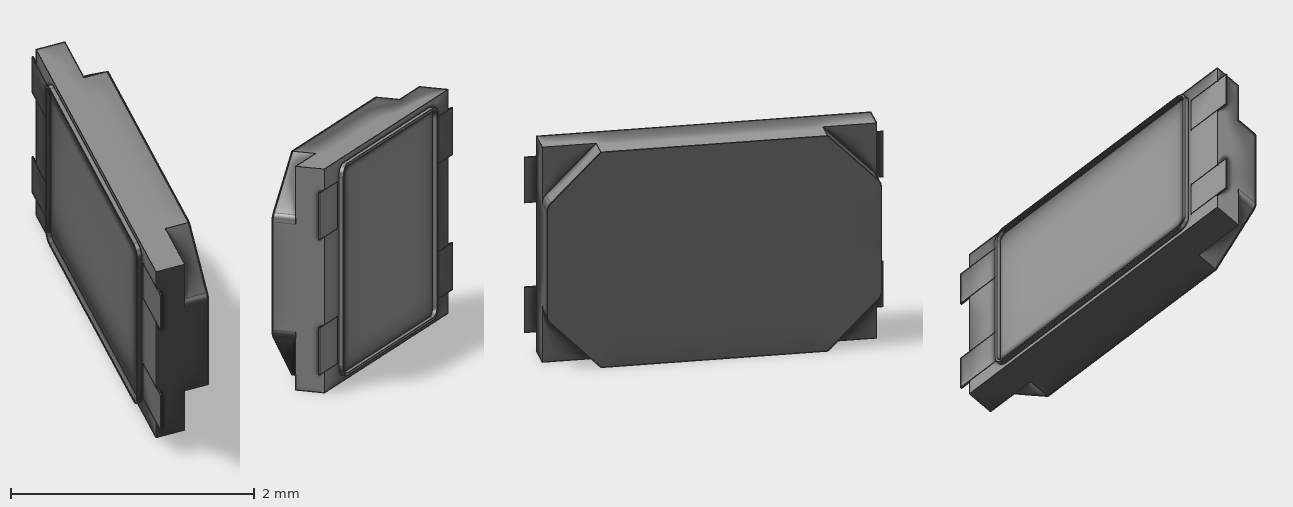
import cadquery as cq

total_width = 3.0
total_depth = 0.5
body_width = 2.8
body_height = 1.9

rim_width = 2.145
rim_height = 1.8
rim_rise = 0.04
rim_wall = 0.02
rim_corner_radius = 0.1

layer_thickness = 0.01
corner_leg = 0.45
corner_cut_depth = 0.21
corner_fillet = 0.1

pad_size = 0.4
pad_thickness = 0.012
pad_edge_distance = 0.177

front_y = 0.0
back_y = total_depth - rim_rise
layer_y = back_y - layer_thickness
corner_cut_y = back_y - corner_cut_depth

pad_x = (total_width - pad_size) / 2
pad_z = body_height / 2 - pad_edge_distance - pad_size / 2
pad_centres = [(sx * pad_x, sz * pad_z) for sx in (-1, 1) for sz in (-1, 1)]


def block(width, height, start_y, end_y):
    """Box centred on X and Z that reaches from start_y to end_y."""
    return cq.Workplane("XY").box(
        width, end_y - start_y, height, centered=(True, False, True)
    ).translate((0, start_y, 0))


def cut_corner_plate(start_y, end_y):
    """Plate with four slanted corners, rounded where the slants meet the short sides."""
    half_x = body_width / 2
    half_z = body_height / 2
    outline = [
        (half_x, half_z - corner_leg),
        (half_x - corner_leg, half_z),
        (corner_leg - half_x, half_z),
        (-half_x, half_z - corner_leg),
        (-half_x, corner_leg - half_z),
        (corner_leg - half_x, -half_z),
        (half_x - corner_leg, -half_z),
        (half_x, corner_leg - half_z),
    ]
    plate = cq.Workplane("XZ", origin=(0, start_y, 0)).polyline(outline).close().extrude(start_y - end_y)
    return plate.edges("|Y and (<X or >X)").fillet(corner_fillet)


def make_rim():
    """Thin rectangular wall with rounded corners, ahead of the front face."""
    outer = block(rim_width, rim_height, front_y - rim_rise, front_y)
    outer = outer.edges("|Y").fillet(rim_corner_radius)
    inner = block(rim_width - 2 * rim_wall, rim_height - 2 * rim_wall, front_y - rim_rise, front_y)
    inner = inner.edges("|Y").fillet(rim_corner_radius - rim_wall)
    return outer.cut(inner)


def make_pad(x, z):
    """Square contact pad, flush with the front face and reaching past the short side."""
    return block(pad_size, pad_size, front_y, front_y + pad_thickness).translate((x, 0, z))


def make_housing(pads):
    """Full front slab, narrower back part and rim, with a recess for each pad."""
    housing = block(body_width, body_height, front_y, corner_cut_y)
    housing = housing.union(cut_corner_plate(corner_cut_y, layer_y))
    housing = housing.union(make_rim())
    for pad in pads:
        housing = housing.cut(pad)
    return housing


pads = [make_pad(x, z) for x, z in pad_centres]
housing = make_housing(pads)
back_layer = cut_corner_plate(layer_y, back_y)

result = cq.Compound.makeCompound([housing.val(), back_layer.val(), *[pad.val() for pad in pads]])